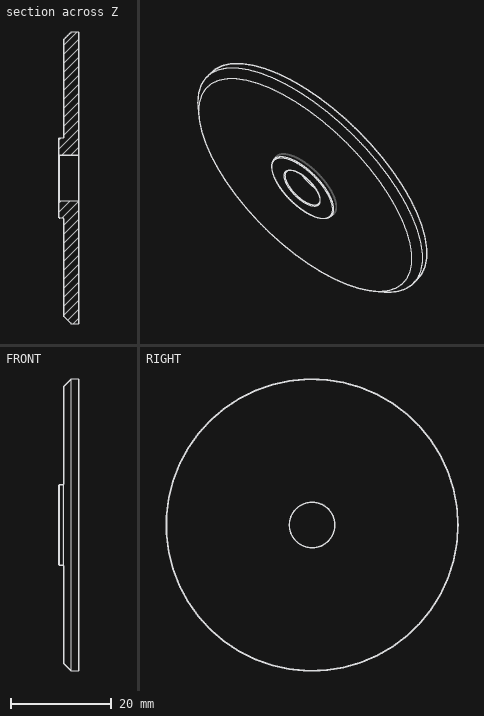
import cadquery as cq

disc_diameter = 58
disc_thickness = 3.0
rim_bevel = 1.5
back_rim_chamfer = 0.1
boss_diameter = 16.0
boss_height = 1.0
boss_edge_chamfer = 0.2
boss_root_fillet = 0.1
bore_diameter = 9.0
bore_edge_chamfer = 0.2

total_thickness = disc_thickness + boss_height


def cylinder_along_x(diameter, start, length):
    """Solid cylinder on the X axis, growing toward +X from start."""
    return cq.Workplane("YZ", origin=(start, 0, 0)).circle(diameter / 2).extrude(length)


disc = cylinder_along_x(disc_diameter, -disc_thickness, disc_thickness)
disc = disc.faces("<X").edges().chamfer(rim_bevel)
disc = disc.faces(">X").edges().chamfer(back_rim_chamfer)

boss = cylinder_along_x(boss_diameter, -total_thickness, boss_height)
boss = boss.faces("<X").edges().chamfer(boss_edge_chamfer)

body = disc.union(boss)
boss_root = cq.selectors.RadiusNthSelector(0)
body = body.faces("<X[1]")
body = body.edges(boss_root).fillet(boss_root_fillet)

bore = cylinder_along_x(bore_diameter, -total_thickness, total_thickness)
bore_mouth = cq.selectors.RadiusNthSelector(0)
result = body.cut(bore).faces("<X").edges(bore_mouth).chamfer(bore_edge_chamfer)